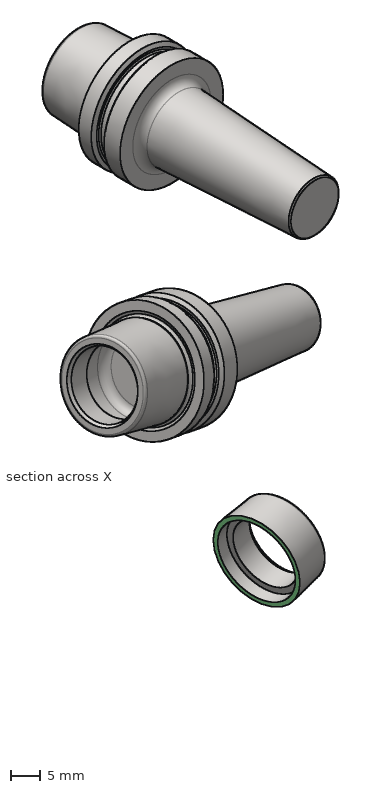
import cadquery as cq
total_length = 57.9

taper_tip_radius = 9.05
taper_base_radius = 9.55
taper_end = 11.85
taper_land_end = 12.2
tip_round = 0.5

neck_radius = 9.4
undercut_round = 0.65
undercut_outer_radius = 10.6
undercut_depth = 0.25

flange_radius = 12.5
flange_start = 12.75
flange_end = 22.85
groove_start = 15.8
groove_end = 18.95
groove_floor_radius = 10.95
groove_shoulder_radius = 11.7
groove_side_width = 0.5
groove_corner = 0.3

shank_base_radius = 7.75
shank_tip_radius = 6.1
shank_fillet = 1.75
shank_tip_chamfer = 0.3

bore_mouth_radius = 7.4
bore_radius = 6.95
bore_mouth_chamfer = 0.7
bore_end = 5.4
chamber_radius = 8.3
chamber_floor_radius = 6.6
chamber_wall_end = 10.55


def quarter_round_middle(start, end, centre):
    """Midpoint of the quarter circle from start to end about centre."""
    return tuple(c + (s + e - 2 * c) * 0.5 ** 0.5 for s, e, c in zip(start, end, centre))


def make_body():
    tip_face_edge = (0, taper_tip_radius - tip_round)
    tip_round_end = (tip_round, taper_tip_radius)
    undercut_bottom = (flange_start + undercut_depth, neck_radius + undercut_round)
    neck_end = (undercut_bottom[0] - undercut_round, neck_radius)
    shoulder = groove_start + groove_side_width
    groove_side = [
        (groove_start, flange_radius),
        (shoulder, groove_shoulder_radius),
        (shoulder, groove_floor_radius + groove_corner),
        (shoulder + groove_corner, groove_floor_radius),
    ]
    mirrored_groove_side = [(groove_start + groove_end - x, radius) for x, radius in reversed(groove_side)]
    fillet_start = (flange_end, shank_base_radius + shank_fillet)
    fillet_end = (flange_end + shank_fillet, shank_base_radius)
    profile = (
        cq.Workplane("XY")
        .lineTo(*tip_face_edge)
        .threePointArc(
            quarter_round_middle(tip_face_edge, tip_round_end, (tip_round, tip_face_edge[1])),
            tip_round_end,
        )
        .lineTo(taper_end, taper_base_radius)
        .lineTo(taper_land_end, taper_base_radius)
        .lineTo(*neck_end)
        .threePointArc(
            quarter_round_middle(neck_end, undercut_bottom, (neck_end[0], undercut_bottom[1])),
            undercut_bottom,
        )
        .lineTo(flange_start, undercut_outer_radius)
        .lineTo(flange_start, flange_radius)
        .polyline(groove_side + mirrored_groove_side, includeCurrent=True)
        .lineTo(flange_end, flange_radius)
        .lineTo(*fillet_start)
        .threePointArc(
            quarter_round_middle(fillet_start, fillet_end, (fillet_end[0], fillet_start[1])),
            fillet_end,
        )
        .lineTo(total_length - shank_tip_chamfer, shank_tip_radius)
        .lineTo(total_length, shank_tip_radius - shank_tip_chamfer)
        .lineTo(total_length, 0)
        .close()
    )
    return profile.revolve(360, (0, 0, 0), (1, 0, 0))


def make_bore():
    floor_round = chamber_radius - chamber_floor_radius
    wall_end = (chamber_wall_end, chamber_radius)
    floor_edge = (chamber_wall_end + floor_round, chamber_floor_radius)
    round_centre = (chamber_wall_end, chamber_floor_radius)
    profile = (
        cq.Workplane("XY")
        .lineTo(0, bore_mouth_radius)
        .lineTo(bore_mouth_chamfer, bore_radius)
        .lineTo(bore_end, bore_radius)
        .lineTo(bore_end, chamber_radius)
        .lineTo(*wall_end)
        .threePointArc(quarter_round_middle(wall_end, floor_edge, round_centre), floor_edge)
        .lineTo(floor_edge[0], 0)
        .close()
    )
    return profile.revolve(360, (0, 0, 0), (1, 0, 0))


result = make_body().cut(make_bore())